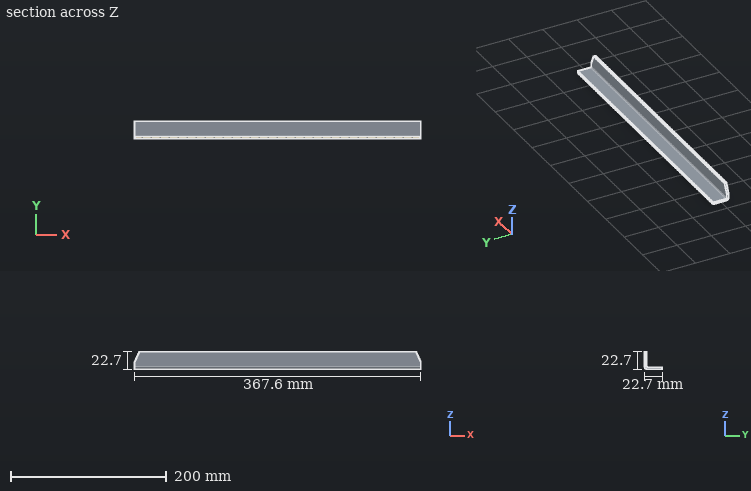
import cadquery as cq

length = 367.64
leg = 22.74
thickness = 3.0
inner_bend_radius = 1.0
outer_bend_radius = inner_bend_radius + thickness

corner_run = 6.2
corner_drop = 13.6


def bent_angle():
    """L section extruded along X, with the bend along the -Y, -Z edge."""
    section = (
        cq.Workplane("YZ")
        .moveTo(0, 0)
        .lineTo(leg, 0)
        .lineTo(leg, thickness)
        .lineTo(thickness, thickness)
        .lineTo(thickness, leg)
        .lineTo(0, leg)
        .close()
    )
    bar = section.extrude(length / 2, both=True)
    bar = bar.edges(cq.selectors.NearestToPointSelector((0, 0, 0))).fillet(outer_bend_radius)
    inner_corner = cq.selectors.NearestToPointSelector((0, thickness, thickness))
    return bar.edges(inner_corner).fillet(inner_bend_radius)


def corner_cutter(side):
    """Triangular prism over the top corner at the +X (side=1) or -X (side=-1) end."""
    end = side * length / 2
    return (
        cq.Workplane("XZ")
        .moveTo(end, leg)
        .lineTo(end - side * corner_run, leg)
        .lineTo(end, leg - corner_drop)
        .close()
        .extrude(-thickness)
    )


result = bent_angle()
for side in (-1, 1):
    result = result.cut(corner_cutter(side))